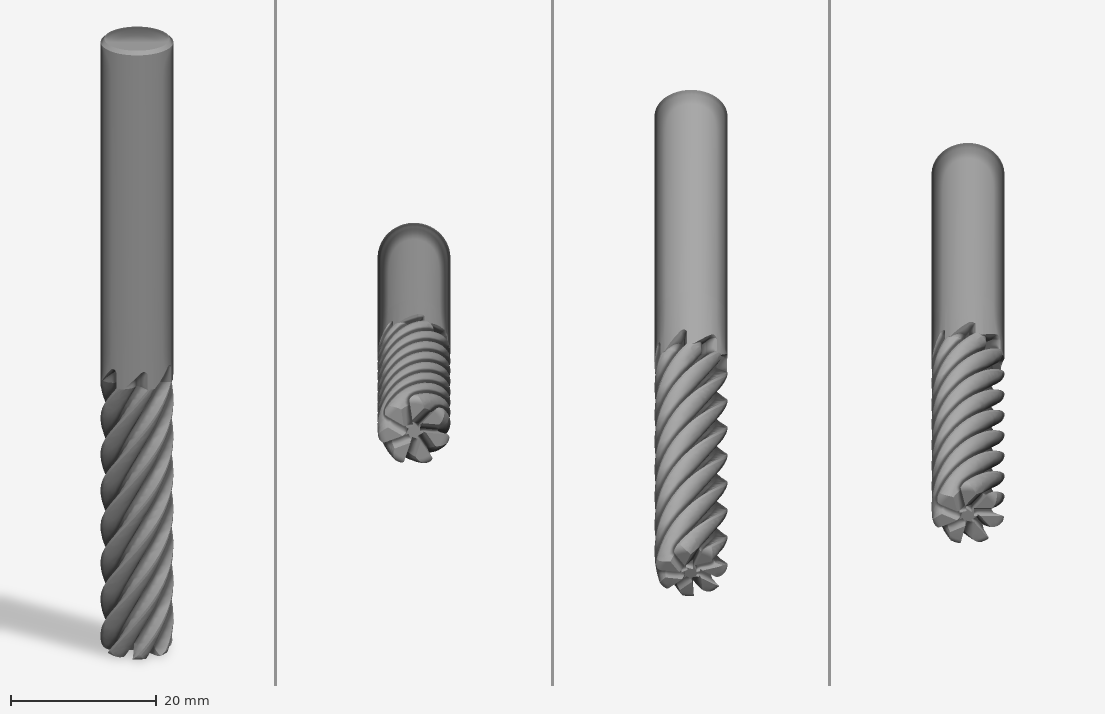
import cadquery as cq
import math


diameter = 10.0
overall_length = 90.0
cutting_length = 40.0
neck_length = 10.0
flute_count = 7
helix_angle = 40.0

shank_chamfer = 0.5

land_angle = 5.0
relief_angle = 21.0
relief_radius = 4.4
floor_angle = 33.0
floor_radius = 3.2
root_angle = 42.0
root_radius = 3.5

corner_radius = 1.0
gash_height = 2.0
gash_width = 1.3
gash_inner_radius = 0.8

runout_height = 2.7
runout_tip_width = 1.0
runout_tip_heel_drop = 0.25
runout_heel_angle = 12.0

radius = diameter / 2
neck_top = cutting_length + neck_length
pitch_angle = 360.0 / flute_count
lead = math.pi * diameter / math.tan(math.radians(helix_angle))
twist_angle = 360.0 * cutting_length / lead
end_edge_angle = -twist_angle
clearance = 1.0
outer_radius = radius + clearance


def polar(distance, angle):
    """Point in the XY plane at a distance from the axis and an angle in degrees."""
    return (distance * math.cos(math.radians(angle)), distance * math.sin(math.radians(angle)))


def flute_outline(level, edge_angle):
    """Section of the flute clockwise of a cutting edge, reaching past the cutter's surface."""
    start = edge_angle - pitch_angle
    return (
        cq.Workplane("XY", origin=(0, 0, level))
        .moveTo(*polar(radius, start + land_angle))
        .threePointArc(
            polar(relief_radius, start + relief_angle), polar(floor_radius, start + floor_angle)
        )
        .lineTo(*polar(root_radius, start + root_angle))
        .lineTo(*polar(radius, edge_angle))
        .lineTo(*polar(outer_radius, edge_angle))
        .lineTo(*polar(outer_radius, edge_angle - pitch_angle / 2))
        .lineTo(*polar(outer_radius, start + land_angle))
        .close()
    )


def make_end_envelope():
    """Cylinder of the cutting diameter with a rounded lower corner."""
    return (
        cq.Workplane("XY").circle(radius).extrude(cutting_length).faces("<Z").edges().fillet(corner_radius)
    )


def make_end_gash(edge_angle):
    """Notch in the end face along one cutting edge: an upright wall and a sloping floor."""
    return (
        cq.Workplane("YZ", origin=(gash_inner_radius, 0, 0))
        .polyline([(0, -clearance), (0, gash_height), (-gash_width, 0), (-gash_width, -clearance)])
        .close()
        .extrude(radius)
        .rotate((0, 0, 0), (0, 0, 1), edge_angle)
    )


def make_cutter():
    """Fluted body with gashed teeth at the end."""
    cutter = make_end_envelope()
    flute = flute_outline(0, end_edge_angle).twistExtrude(cutting_length, twist_angle)
    gash = make_end_gash(end_edge_angle)
    for tooth in range(flute_count):
        turn = tooth * pitch_angle
        cutter = cutter.cut(flute.rotate((0, 0, 0), (0, 0, 1), turn))
        cutter = cutter.cut(gash.rotate((0, 0, 0), (0, 0, 1), turn))
    return cutter


def make_shank_blank():
    """Turned neck and shank with a chamfered rear end."""
    return (
        cq.Workplane("YZ")
        .moveTo(0, cutting_length)
        .lineTo(-radius, cutting_length)
        .lineTo(-radius, neck_top)
        .lineTo(-radius, overall_length - shank_chamfer)
        .lineTo(-radius + shank_chamfer, overall_length)
        .lineTo(0, overall_length)
        .close()
        .revolve(360, (0, 0, 0), (0, 1, 0), clean=False)
    )


def make_runout():
    """End of one flute: upright beside the cutting edge, sloping at the heel, rounded at the top."""
    heel = runout_heel_angle - pitch_angle
    half_width = radius * math.sin(math.radians(-heel / 2))
    top = cutting_length + runout_height
    tip_radius = runout_tip_width / 2
    window = (
        cq.Workplane("YZ")
        .moveTo(-half_width, cutting_length)
        .lineTo(half_width - runout_tip_width, top - runout_tip_heel_drop)
        .threePointArc((half_width - tip_radius, top), (half_width, top - tip_radius))
        .lineTo(half_width, cutting_length)
        .close()
        .extrude(outer_radius)
        .rotate((0, 0, 0), (0, 0, 1), heel / 2)
    )
    return flute_outline(cutting_length, 0).extrude(runout_height).intersect(window)


def make_shank():
    shank = make_shank_blank()
    runout = make_runout()
    for tooth in range(flute_count):
        shank = shank.cut(runout.rotate((0, 0, 0), (0, 0, 1), tooth * pitch_angle), clean=False)
    return shank


cutter = make_cutter()
shank = make_shank()
result = cq.Compound.makeCompound([cutter.val(), shank.val()])